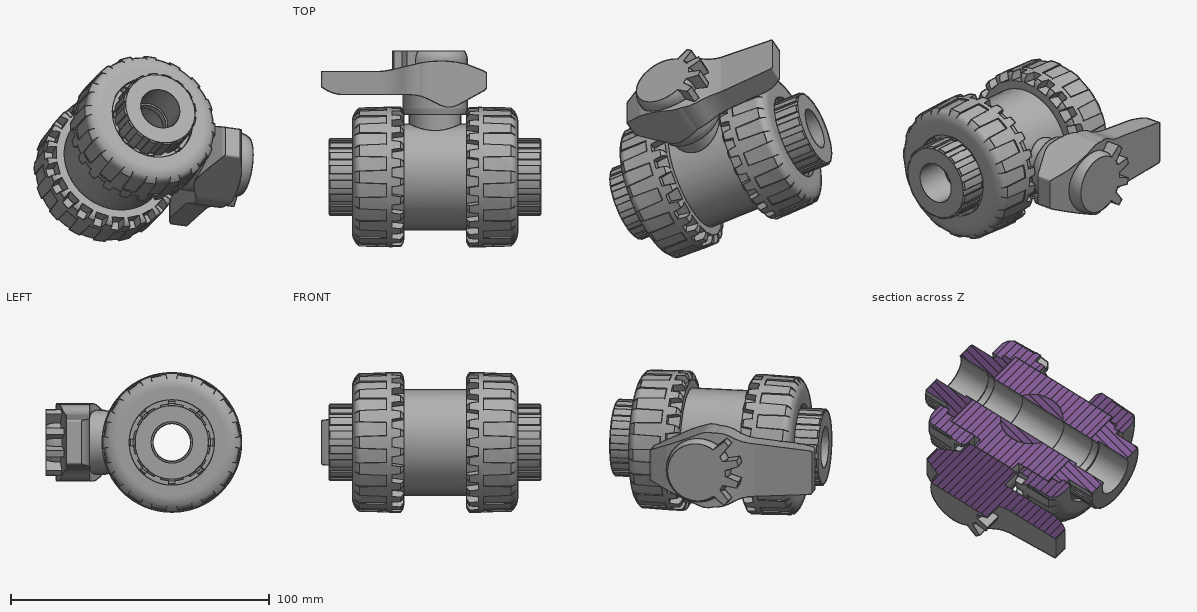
import cadquery as cq
import math

END_ROTATIONS = (0, 180)

bore_r = 14.5 / 2
ball_r = 25.0 / 2
body_r = 41.1 / 2
body_half_length = 24.0
neck_r = 20.0 / 2
neck_end_y = 24.2

connector_end_x = -41.0
socket_r = 16.0 / 2
socket_depth = 14.0
connector_root_r = 14.2
rib_r = 14.85
rib_chamfer_length = 0.45
rib_count = 16
rib_angle = 12.5
collar_r = 33.0 / 2
collar_x = -30.0
flange_r = 36.8 / 2
flange_x = -28.0
slot_count = 8
slot_width = 2.6
slot_floor_x = -29.2
slot_step_x = -29.6
slot_bottom_r = 14.0
slot_step_r = 15.0
slot_bevel_r = 15.9
slot_bevel_length = 0.5

nut_outer_x = -32.0
nut_inner_x = -12.1
nut_r = 27.0
nut_face_r = 21.1
nut_shoulder_x = -29.3
nut_shoulder_r = 26.7
nut_band_x = -18.15
grip_count = 16
grip_start_x = -18.75
grip_start_width = 5.2
grip_start_floor_r = 26.45
grip_shoulder_x = -28.65
grip_shoulder_floor_r = 26.1
grip_end_x = -31.0
grip_end_width = 5.9
grip_end_floor_r = 24.75
crown_round_x = -13.4
crown_round_middle = (-12.6, 26.0)
crown_face_r = 24.2
crown_gap_count = 23
crown_gap_root_x = -16.7
crown_gap_root_width = 3.4
crown_gap_tip_width = 4.9
crown_gap_floor_r = 23.7

hub_r = 24.98 / 2
hub_base_r = 12.0
hub_chamfer_y = 26.3
hub_cap_y = 45.3
hub_cap_middle = (12.15, 47.2)
hub_end_r = 11.35
handle_end_y = 48.7
lever_tip_x = -43.95
lever_front_y = 31.8
lever_back_y = 40.8
lever_tip_front_y = 34.9
lever_tip_round_middle = (-39.6, 32.5)
lever_tip_round_end_x = -34.4
front_bend_x = -9.8
front_wave = [(-1.4, 29.5), (5.7, 27.0), (12.3, 29.7)]
front_wave_end_slope = 0.5
nose_x = 19.9
nose_shoulder_x = 19.0
nose_front_y = 34.2
nose_front_shoulder_y = 33.4
nose_back_y = 40.3
nose_back_shoulder_y = 40.9
back_arc_start = (12.5, 43.5)
back_arc_middle = (4.0, 44.8)
back_arc_end = (-7.6, 43.6)
back_bend = (-15.3, 41.8)
back_bend_end_x = -21.5
tip_half_width = 8.6
flare_start = (-21.8, 10.4)
flare_middle = (-17.15, 11.1)
flare_end = (-12.5, 13.1)
crest_start = (-5.9, 14.7)
crest_top = (-3.6, 15.0)
crest_end = (-1.4, 14.7)
nose_half_width = 6.0
handle_corner_r = 0.9
gear_angles = (-45, -15, 15, 45)
gear_start_y = 38.0
gear_root_r = 10.5
gear_root_width = 3.95
gear_tip_r = 16.7
gear_tip_width = 2.55


def x_cylinder(radius, start_x, end_x):
    return cq.Workplane("YZ", origin=(start_x, 0, 0)).circle(radius).extrude(end_x - start_x)


def spin_x(profile):
    """Revolve a closed (x, radius) profile about the flow axis."""
    return profile.revolve(360, (0, 0, 0), (1, 0, 0))


def ring_about_x(shape, count, first_angle):
    """Evenly spaced copies of a shape around the flow axis."""
    copies = []
    for i in range(count):
        copies.append(shape.rotate((0, 0, 0), (1, 0, 0), first_angle + i * 360 / count).val())
    return cq.Workplane(obj=cq.Compound.makeCompound(copies))


def tapered_prism(start_x, start_width, end_x, end_width, base_r):
    """Outward prism above the flow axis, its width changing along X."""
    return (
        cq.Workplane("XY", origin=(0, 0, base_r))
        .moveTo(start_x, -start_width / 2)
        .lineTo(start_x, start_width / 2)
        .lineTo(end_x, end_width / 2)
        .lineTo(end_x, -end_width / 2)
        .close()
        .extrude(nut_r)
    )


def make_body():
    barrel = x_cylinder(body_r, -body_half_length, body_half_length)
    neck = cq.Workplane("XZ").circle(neck_r).extrude(-neck_end_y)
    chamber = cq.Workplane("XY").sphere(ball_r)
    bore = x_cylinder(bore_r, -body_half_length, body_half_length)
    return barrel.union(neck).cut(chamber).cut(bore)


def make_ball():
    return cq.Workplane("XY").sphere(ball_r).cut(x_cylinder(bore_r, -ball_r, ball_r))


def connector_ribs():
    rib_sleeve = spin_x(
        cq.Workplane("XY")
        .moveTo(connector_end_x, 0)
        .lineTo(connector_end_x, connector_root_r)
        .lineTo(connector_end_x + rib_chamfer_length, rib_r)
        .lineTo(flange_x, rib_r)
        .lineTo(flange_x, 0)
        .close()
    )
    sector_inner_r = connector_root_r - 1
    sector_outer_r = rib_r + 1
    spread = math.tan(math.radians(rib_angle / 2))
    sector = (
        cq.Workplane("YZ", origin=(connector_end_x, 0, 0))
        .moveTo(-sector_inner_r * spread, sector_inner_r)
        .lineTo(sector_inner_r * spread, sector_inner_r)
        .lineTo(sector_outer_r * spread, sector_outer_r)
        .lineTo(-sector_outer_r * spread, sector_outer_r)
        .close()
        .extrude(flange_x - connector_end_x)
    )
    rib = rib_sleeve.intersect(sector)
    return ring_about_x(rib, rib_count, 180 / rib_count)


def collar_slots():
    """Radial slots in the collar face with a stepped floor that bevels down at the rim."""
    rim_x = slot_floor_x + slot_bevel_length
    profile = (
        cq.Workplane("XZ", origin=(0, slot_width / 2, 0))
        .moveTo(collar_x, slot_bottom_r)
        .lineTo(slot_step_x, slot_bottom_r)
        .lineTo(slot_step_x, slot_step_r)
        .lineTo(slot_floor_x, slot_step_r)
        .lineTo(slot_floor_x, slot_bevel_r)
        .lineTo(rim_x, collar_r)
        .lineTo(collar_x, collar_r)
        .close()
    )
    return ring_about_x(profile.extrude(slot_width), slot_count, 0)


def make_connector():
    pipe = x_cylinder(connector_root_r, connector_end_x, flange_x)
    collar = x_cylinder(collar_r, collar_x, flange_x)
    flange = x_cylinder(flange_r, flange_x, -body_half_length)
    socket = x_cylinder(socket_r, connector_end_x, connector_end_x + socket_depth)
    bore = x_cylinder(bore_r, connector_end_x, -body_half_length)
    outside = pipe.union(connector_ribs()).union(collar).union(flange)
    return outside.cut(collar_slots()).cut(socket).cut(bore)


def grip_recesses():
    """Recesses whose floor follows the rounded shoulder."""
    prism = tapered_prism(grip_start_x, grip_start_width, grip_end_x, grip_end_width, 0)
    floor = spin_x(
        cq.Workplane("XY")
        .moveTo(grip_start_x, 0)
        .lineTo(grip_start_x, grip_start_floor_r)
        .lineTo(grip_shoulder_x, grip_shoulder_floor_r)
        .tangentArcPoint((grip_end_x, grip_end_floor_r), relative=False)
        .lineTo(grip_end_x, 0)
        .close()
    )
    return ring_about_x(prism.cut(floor), grip_count, 180 / grip_count)


def crown_gaps():
    """Gaps between the crown teeth, widening towards the tooth tips; one gap faces -Y."""
    gap = tapered_prism(
        crown_gap_root_x, crown_gap_root_width, nut_inner_x, crown_gap_tip_width, crown_gap_floor_r
    )
    return ring_about_x(gap, crown_gap_count, 90)


def make_nut():
    ring = spin_x(
        cq.Workplane("XY")
        .moveTo(nut_outer_x, collar_r)
        .lineTo(nut_outer_x, nut_face_r)
        .tangentArcPoint((nut_shoulder_x, nut_shoulder_r), relative=False)
        .lineTo(nut_band_x, nut_r)
        .lineTo(crown_round_x, nut_r)
        .threePointArc(crown_round_middle, (nut_inner_x, crown_face_r))
        .lineTo(nut_inner_x, body_r)
        .lineTo(-body_half_length, body_r)
        .lineTo(-body_half_length, flange_r)
        .lineTo(flange_x, flange_r)
        .lineTo(flange_x, collar_r)
        .close()
    )
    return ring.cut(grip_recesses()).cut(crown_gaps())


def make_lever():
    """Lever bounded by its waved outline along Z and its flared width along Y."""
    outline = (
        cq.Workplane("XY")
        .moveTo(lever_tip_x, lever_tip_front_y)
        .threePointArc(lever_tip_round_middle, (lever_tip_round_end_x, lever_front_y))
        .lineTo(front_bend_x, lever_front_y)
        .spline(front_wave, tangents=[(1, 0), (1, front_wave_end_slope)], includeCurrent=True)
        .lineTo(nose_shoulder_x, nose_front_shoulder_y)
        .lineTo(nose_x, nose_front_y)
        .lineTo(nose_x, nose_back_y)
        .lineTo(nose_shoulder_x, nose_back_shoulder_y)
        .lineTo(*back_arc_start)
        .threePointArc(back_arc_middle, back_arc_end)
        .lineTo(*back_bend)
        .tangentArcPoint((back_bend_end_x, lever_back_y), relative=False)
        .lineTo(lever_tip_x, lever_back_y)
        .close()
        .extrude(handle_end_y, both=True)
    )
    flared_width = (
        cq.Workplane("XZ")
        .moveTo(lever_tip_x, 0)
        .lineTo(lever_tip_x, tip_half_width)
        .lineTo(*flare_start)
        .threePointArc(flare_middle, flare_end)
        .tangentArcPoint(crest_start, relative=False)
        .threePointArc(crest_top, crest_end)
        .lineTo(nose_x, nose_half_width)
        .lineTo(nose_x, 0)
        .mirrorX()
        .extrude(-handle_end_y)
        .edges("|Y")
        .edges("<X or >X")
        .fillet(handle_corner_r)
    )
    return outline.intersect(flared_width)


def make_hub():
    return (
        cq.Workplane("XY")
        .moveTo(0, neck_end_y)
        .lineTo(hub_base_r, neck_end_y)
        .lineTo(hub_r, hub_chamfer_y)
        .lineTo(hub_r, hub_cap_y)
        .threePointArc(hub_cap_middle, (hub_end_r, handle_end_y))
        .lineTo(0, handle_end_y)
        .close()
        .revolve(360, (0, 0, 0), (0, 1, 0))
    )


def gear_tooth():
    """Tapered tooth pointing towards -X."""
    return (
        cq.Workplane("XZ", origin=(0, gear_start_y, 0))
        .moveTo(-gear_root_r, -gear_root_width / 2)
        .lineTo(-gear_tip_r, -gear_tip_width / 2)
        .lineTo(-gear_tip_r, gear_tip_width / 2)
        .lineTo(-gear_root_r, gear_root_width / 2)
        .close()
        .extrude(gear_start_y - handle_end_y)
    )


def make_handle():
    handle = make_lever().union(make_hub())
    for angle in gear_angles:
        handle = handle.union(gear_tooth().rotate((0, 0, 0), (0, 1, 0), angle))
    return handle


body = make_body()
ball = make_ball()
handle = make_handle()
connector = make_connector()
nut = make_nut()

end_solids = []
for turn in END_ROTATIONS:
    for part in (connector, nut):
        end_solids.append(part.rotate((0, 0, 0), (0, 0, 1), turn).val())

result = cq.Compound.makeCompound([body.val(), ball.val(), handle.val(), *end_solids])